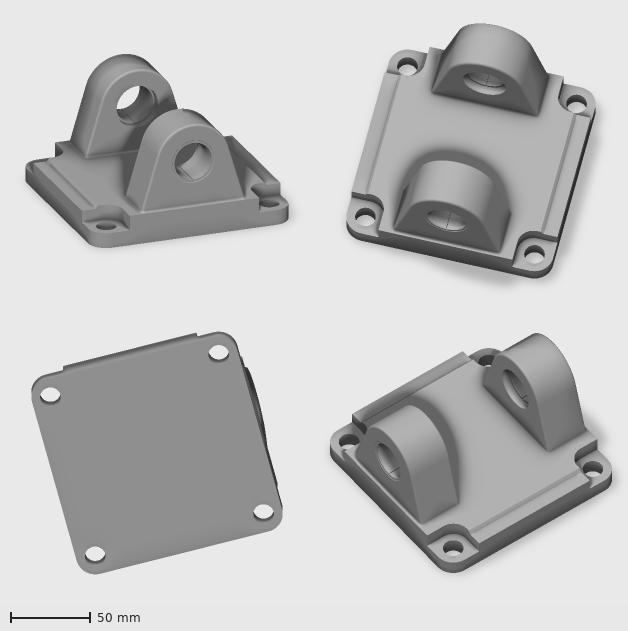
import cadquery as cq
import math

base_size = 134.0
base_height = 20.0
corner_radius = 12.0

bolt_offset = 55.0
bolt_diameter = 13.0
lug_height = 10.0
pocket_size = 23.5
pocket_radius = 10.5

step_drop = 2.0
strip_width = 9.0

ear_gap = 70.0
ear_outer_span = 130.0
ear_base_half_width = 35.0
pin_height = 50.0
ear_radius = 24.9
ear_edge_fillet = 1.5
ear_root_fillet = 1.5
root_margin = 0.3

pin_diameter = 25.0
seat_diameter = 28.0
seat_depth = 5.4
bore_chamfer = 0.3
slit_width = 0.5

ear_width = (ear_outer_span - ear_gap) / 2
half_base = base_size / 2


def make_base():
    """Square plate with rounded corners and lowered front and back strips."""
    plate = (
        cq.Workplane("XY")
        .rect(base_size, base_size)
        .extrude(base_height)
        .edges("|Z")
        .fillet(corner_radius)
    )
    strip_edge = half_base - strip_width
    strip = (
        cq.Workplane("YZ")
        .moveTo(strip_edge - step_drop, base_height)
        .lineTo(strip_edge, base_height - step_drop)
        .lineTo(half_base, base_height - step_drop)
        .lineTo(half_base, base_height)
        .close()
        .extrude(half_base, both=True)
    )
    return plate.cut(strip).cut(strip.mirror("XZ"))


def make_ear():
    """Tapered ear on the +X side: straight flanks tangent to a round head, rounded along the outline."""
    pin_rise = pin_height - base_height
    root_to_pin = math.hypot(ear_base_half_width, pin_rise)
    flank_tilt = math.atan2(ear_base_half_width, pin_rise) - math.asin(ear_radius / root_to_pin)
    ear_top = pin_height + ear_radius
    tangent_y = ear_radius * math.cos(flank_tilt)
    tangent_z = pin_height + ear_radius * math.sin(flank_tilt)
    return (
        cq.Workplane("YZ", origin=(ear_gap / 2, 0, 0))
        .moveTo(-ear_base_half_width, base_height)
        .lineTo(-tangent_y, tangent_z)
        .threePointArc((0, ear_top), (tangent_y, tangent_z))
        .lineTo(ear_base_half_width, base_height)
        .close()
        .extrude(ear_width)
        .faces("<X or >X")
        .edges("not <Z")
        .fillet(ear_edge_fillet)
    )


def make_pocket():
    """Cutter that lowers the +X +Y corner to a bolt lug, rounded on its inner corner."""
    pocket_center = half_base - pocket_size / 2
    return (
        cq.Workplane("XY", origin=(pocket_center, pocket_center, lug_height))
        .rect(pocket_size, pocket_size)
        .extrude(base_height - lug_height)
        .edges("|Z and <X and <Y")
        .fillet(pocket_radius)
    )


def make_pin_bore():
    """Cutter along X through the +X ear: inner seat, split bushing bore, outer chamfer."""
    inner_x = ear_gap / 2
    outer_x = ear_outer_span / 2
    seat_radius = seat_diameter / 2
    pin_radius = pin_diameter / 2
    bushing_start = inner_x + seat_depth
    bushing_end = outer_x - bore_chamfer
    bore = (
        cq.Workplane("XY")
        .moveTo(inner_x, 0)
        .lineTo(inner_x, seat_radius)
        .lineTo(bushing_start, seat_radius)
        .lineTo(bushing_start, pin_radius)
        .lineTo(bushing_end, pin_radius)
        .lineTo(bushing_end, seat_radius)
        .lineTo(outer_x, seat_radius + bore_chamfer)
        .lineTo(outer_x, 0)
        .close()
        .revolve(360, (0, 0, 0), (1, 0, 0))
    )
    slit = cq.Workplane("XY").box(
        bushing_end - bushing_start, slit_width, seat_radius, centered=(False, True, False)
    )
    slit = slit.translate((bushing_start, 0, -seat_radius))
    return bore.union(slit).translate((0, 0, pin_height))


ear = make_ear()
body = make_base().union(ear).union(ear.mirror("YZ"))
root_edges = cq.selectors.BoxSelector(
    (-half_base + root_margin, -half_base / 2, base_height - root_margin),
    (half_base - root_margin, half_base / 2, base_height + root_margin),
    boundingbox=True,
)
body = body.edges(root_edges).fillet(ear_root_fillet)

pocket = make_pocket()
for quarter in range(4):
    body = body.cut(pocket.rotate((0, 0, 0), (0, 0, 1), 90 * quarter))
bolt_holes = (
    cq.Workplane("XY")
    .rect(2 * bolt_offset, 2 * bolt_offset, forConstruction=True)
    .vertices()
    .circle(bolt_diameter / 2)
    .extrude(base_height)
)

pin_bore = make_pin_bore()
result = body.cut(bolt_holes).cut(pin_bore).cut(pin_bore.mirror("YZ"))